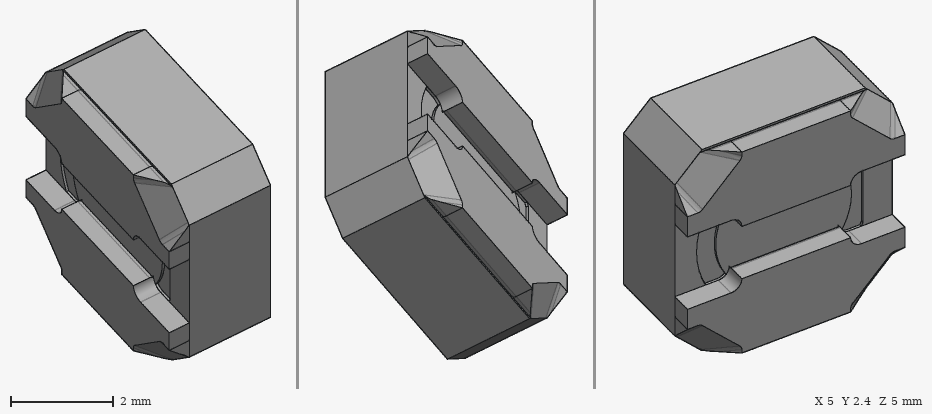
import cadquery as cq
import math

width = 5.0
depth = 2.4
half_width = width / 2
corner_chamfer = 0.625

foot_thickness = 0.475
front_y = -depth / 2
block_front_y = front_y + foot_thickness
block_depth = depth - foot_thickness

recess_radius = 2.0
recess_flat_x = 1.825
recess_depth = 0.055
core_radius = 1.56

channel_end_half = 0.9
channel_middle_half = 0.65
channel_middle_length = 2.5
channel_arc_radius = channel_end_half - channel_middle_half

notch_inner_x = 1.25
notch_inner_z = 1.4
notch_diagonal_sum = 3.6
notch_fillet = 0.15

round_depth = 0.095
round_drop = 0.055

margin = 0.5
sides = (-1, 1)


def front_plane(y):
    """Plane at the given Y with local x = X, local y = Z and its normal toward -Y."""
    return cq.Workplane("XZ", origin=(0, y, 0))


def octagon(y, length):
    """Chamfered square prism that starts at y and runs toward -Y."""
    square = front_plane(y).rect(width, width).extrude(length)
    return square.edges("|Y").chamfer(corner_chamfer)


def notch_wire(y, inner_x, inner_z, diagonal_sum, x_side, z_side):
    """Outline of one corner notch: two straight edges joined to a diagonal by tangent arcs."""
    reach = half_width + margin
    tangent = notch_fillet * math.tan(math.radians(45 / 2))
    slant = tangent / math.sqrt(2)
    side_x = diagonal_sum - inner_z
    top_z = diagonal_sum - inner_x

    def at(x, z):
        return (x_side * x, z_side * z)

    return (
        front_plane(y)
        .moveTo(*at(reach, reach))
        .lineTo(*at(reach, inner_z))
        .lineTo(*at(side_x + tangent, inner_z))
        .tangentArcPoint(at(side_x - slant, inner_z + slant), relative=False)
        .lineTo(*at(inner_x + slant, top_z - slant))
        .tangentArcPoint(at(inner_x, top_z + tangent), relative=False)
        .lineTo(*at(inner_x, reach))
        .close()
    )


def front_notch_wire(y, x_side, z_side):
    return notch_wire(y, notch_inner_x, notch_inner_z, notch_diagonal_sum, x_side, z_side)


def notch_prism(x_side, z_side):
    """Straight corner notch through the thickness of a foot."""
    return front_notch_wire(block_front_y, x_side, z_side).extrude(foot_thickness)


def slope_cutter(x_side, z_side):
    """Space in front of a corner piece: it widens from the block's chamfer to the notch outline."""
    chamfer_end = half_width - corner_chamfer
    back = notch_wire(
        block_front_y, chamfer_end, chamfer_end, half_width + chamfer_end, x_side, z_side
    )
    front = front_notch_wire(front_y, x_side, z_side)
    wires = [back.wires().val(), front.wires().val()]
    return cq.Workplane(cq.Solid.makeLoft(wires, True))


def edge_round_cutter(edge_z, inward, length):
    """Bar that rounds a foot's back edge at edge_z; inward (+1 or -1) points into the material."""
    radius = (round_depth**2 + round_drop**2) / (2 * round_drop)
    middle_angle = math.asin(round_depth / radius) / 2
    arc_start_y = block_front_y - round_depth
    middle = (
        arc_start_y + radius * math.sin(middle_angle),
        edge_z + inward * radius * (1 - math.cos(middle_angle)),
    )
    return (
        cq.Workplane("YZ", origin=(-length / 2, 0, 0))
        .moveTo(arc_start_y, edge_z)
        .threePointArc(middle, (block_front_y, edge_z + inward * round_drop))
        .lineTo(block_front_y, edge_z)
        .close()
        .extrude(length)
    )


def foot_outline(z_side):
    """Outline of a foot before its corners are notched, with the stepped channel edge."""
    middle_x = channel_middle_length / 2
    arc_x = middle_x + channel_arc_radius
    arc_middle_x = arc_x - channel_arc_radius * math.sqrt(0.5)
    arc_middle_z = channel_middle_half + channel_arc_radius * math.sqrt(0.5)

    def at(x, z):
        return (x, z_side * z)

    return (
        front_plane(block_front_y)
        .moveTo(*at(-half_width, half_width))
        .lineTo(*at(-half_width, channel_end_half))
        .lineTo(*at(-arc_x, channel_end_half))
        .threePointArc(at(-arc_middle_x, arc_middle_z), at(-middle_x, channel_middle_half))
        .lineTo(*at(middle_x, channel_middle_half))
        .threePointArc(at(arc_middle_x, arc_middle_z), at(arc_x, channel_end_half))
        .lineTo(*at(half_width, channel_end_half))
        .lineTo(*at(half_width, half_width))
        .close()
    )


def make_core():
    """Round core on the recess floor, flush with the block's front."""
    return front_plane(block_front_y).circle(core_radius).extrude(-recess_depth)


def channel_recess():
    """Recess as wide as the channel, with a round end toward -X and a flat end toward +X."""
    recess = front_plane(block_front_y).circle(recess_radius).extrude(-recess_depth)
    beyond_flat = (
        front_plane(block_front_y)
        .center(recess_flat_x + half_width / 2, 0)
        .rect(half_width, width)
        .extrude(-recess_depth)
    )
    recess = recess.cut(beyond_flat)
    for z_side in sides:
        recess = recess.cut(foot_outline(z_side).extrude(-recess_depth))
    return recess


def make_block():
    """Octagonal block with the channel recess and the round seat of the core."""
    body = octagon(block_front_y + block_depth, block_depth)
    return body.cut(channel_recess()).cut(make_core())


def make_foot(z_side):
    """Plate along one Z side of the block, with rounded back edges and two corner notches."""
    foot = foot_outline(z_side).extrude(foot_thickness)
    for x_side in sides:
        foot = foot.cut(notch_prism(x_side, z_side))
    foot = foot.cut(edge_round_cutter(z_side * half_width, -z_side, width))
    return foot.cut(edge_round_cutter(z_side * channel_middle_half, z_side, channel_middle_length))


def make_corner(x_side, z_side):
    """Sloped piece that fills one corner notch from the block's chamfer up to the foot's front."""
    corner = octagon(block_front_y, foot_thickness).intersect(notch_prism(x_side, z_side))
    corner = corner.cut(slope_cutter(x_side, z_side))
    return corner.cut(edge_round_cutter(z_side * half_width, -z_side, width))


block = make_block()
core = make_core()
feet = [make_foot(z_side) for z_side in sides]
corners = [make_corner(x_side, z_side) for x_side in sides for z_side in sides]

bodies = [block, core, *feet, *corners]
result = cq.Compound.makeCompound([body.solids().val() for body in bodies])